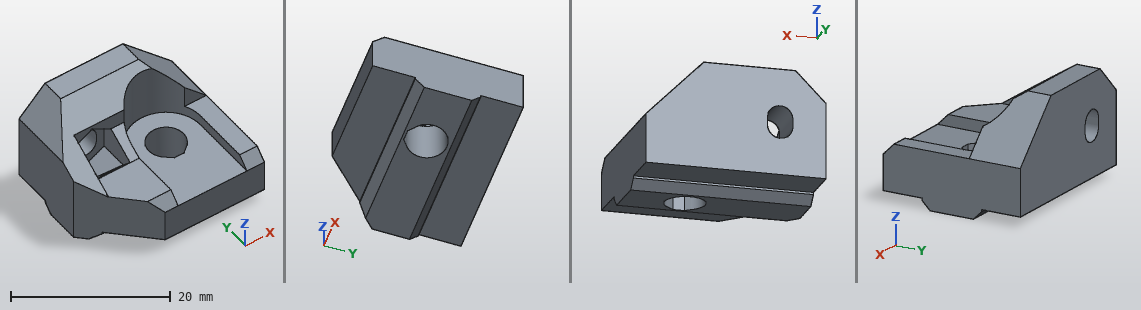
import cadquery as cq
import math

LENGTH = 23.5
DEPTH = 20.0
HEIGHT = 15.4

RAIL_HEIGHT = 1.48
FLOOR_Z = 7.92
FRONT_BEVEL = 1.57
SLOPE_START_Y = 5.15
TOP_FLAT_DEPTH = 3.38
LEFT_BEVEL = 4.0
RIGHT_BEVEL_WIDTH = 7.52
CORNER_CUT = 8.2

RAIL_CENTER_Y = DEPTH / 2
RAIL_WIDTH = 8.7
RAIL_BEVEL = 1.2

RECESS_LEFT_X = 3.15
RECESS_BACK_Y = 12.55
RAMP_START_Y = 8.41
RAMP_TOP_Z = 10.55

SCREW_X = 15.5
SCREW_Y = 10.0
POCKET_RADIUS = 5.29
POCKET_FLOOR_Z = FLOOR_Z - FRONT_BEVEL
HOLE_RADIUS = 2.65
RELIEF_HALF_WIDTH = 0.75
RELIEF_DEPTH = 2.82
RELIEF_SIDE_X = 1.48

NUT_FLATS = 5.69
NUT_X = RECESS_LEFT_X + NUT_FLATS / 2
NUT_UPPER_Z = 8.9
NUT_LOWER_Z = FLOOR_Z
NUT_BACK_Y = 14.03
NUT_RAMP_RUN = 3.05
BOLT_RADIUS = 1.65

CLEARANCE = 2.35


def extrude_along_x(points, start, end):
    """Extrude a (Y, Z) outline between two X positions."""
    return cq.Workplane("YZ").workplane(offset=start).polyline(points).close().extrude(end - start)


def extrude_along_y(sketch, start, end):
    """Extrude a sketched XZ outline between two Y positions."""
    return sketch(cq.Workplane("XZ", origin=(0, start, 0))).extrude(start - end)


def make_body():
    side = extrude_along_x([
        (0, RAIL_HEIGHT),
        (DEPTH, RAIL_HEIGHT),
        (DEPTH, HEIGHT),
        (DEPTH - TOP_FLAT_DEPTH, HEIGHT),
        (SLOPE_START_Y, FLOOR_Z),
        (FRONT_BEVEL, FLOOR_Z),
        (0, FLOOR_Z - FRONT_BEVEL),
    ], 0, LENGTH)
    half = RAIL_WIDTH / 2
    rail = extrude_along_x([
        (RAIL_CENTER_Y - half, RAIL_HEIGHT),
        (RAIL_CENTER_Y - half, RAIL_BEVEL),
        (RAIL_CENTER_Y - half + RAIL_BEVEL, 0),
        (RAIL_CENTER_Y + half - RAIL_BEVEL, 0),
        (RAIL_CENTER_Y + half, RAIL_BEVEL),
        (RAIL_CENTER_Y + half, RAIL_HEIGHT),
    ], 0, LENGTH)
    front_outline = [
        (0, 0),
        (LENGTH, 0),
        (LENGTH, FLOOR_Z),
        (LENGTH - RIGHT_BEVEL_WIDTH, HEIGHT),
        (LEFT_BEVEL, HEIGHT),
        (0, HEIGHT - LEFT_BEVEL),
    ]
    front = extrude_along_y(lambda plane: plane.polyline(front_outline).close(), 0, DEPTH)
    corner = cq.Workplane("XY").polyline([(0, 0), (CORNER_CUT, 0), (0, CORNER_CUT)]).close().extrude(HEIGHT)
    return side.union(rail).intersect(front).cut(corner)


def make_recess():
    """Clear the space above the floor, leaving a ramp left of the screw pocket."""
    top = HEIGHT + CLEARANCE
    ramped = extrude_along_x([
        (0, FLOOR_Z),
        (RAMP_START_Y, FLOOR_Z),
        (RECESS_BACK_Y, RAMP_TOP_Z),
        (RECESS_BACK_Y, top),
        (0, top),
    ], RECESS_LEFT_X, SCREW_X)
    square = extrude_along_x([
        (0, FLOOR_Z),
        (RECESS_BACK_Y, FLOOR_Z),
        (RECESS_BACK_Y, top),
        (0, top),
    ], SCREW_X, LENGTH)
    return ramped.union(square)


def make_screw_pocket():
    """U-shaped pocket, open to the front."""
    return (
        cq.Workplane("XY", origin=(SCREW_X, SCREW_Y, POCKET_FLOOR_Z))
        .moveTo(-POCKET_RADIUS, -SCREW_Y)
        .lineTo(-POCKET_RADIUS, 0)
        .threePointArc((0, POCKET_RADIUS), (POCKET_RADIUS, 0))
        .lineTo(POCKET_RADIUS, -SCREW_Y)
        .close()
        .extrude(HEIGHT)
    )


def make_screw_hole():
    """Round hole with a flat-ended relief on its front side."""
    relief_side_y = -math.sqrt(HOLE_RADIUS**2 - RELIEF_SIDE_X**2)
    plane = cq.Workplane("XY", origin=(SCREW_X, SCREW_Y, 0))
    return (
        plane.moveTo(-RELIEF_SIDE_X, relief_side_y)
        .threePointArc((0, HOLE_RADIUS), (RELIEF_SIDE_X, relief_side_y))
        .lineTo(RELIEF_HALF_WIDTH, -RELIEF_DEPTH)
        .lineTo(-RELIEF_HALF_WIDTH, -RELIEF_DEPTH)
        .close()
        .extrude(HEIGHT)
    )


def make_nut_trap():
    """Vertically stretched hexagon with a ramp rising to the floor at its front."""
    half = NUT_FLATS / 2
    corner_radius = NUT_FLATS / math.sqrt(3)
    shoulder = corner_radius / 2
    bottom_z = NUT_LOWER_Z - corner_radius
    hexagon = [
        (NUT_X, NUT_UPPER_Z + corner_radius),
        (NUT_X + half, NUT_UPPER_Z + shoulder),
        (NUT_X + half, NUT_LOWER_Z - shoulder),
        (NUT_X, bottom_z),
        (NUT_X - half, NUT_LOWER_Z - shoulder),
        (NUT_X - half, NUT_UPPER_Z + shoulder),
    ]
    prism = extrude_along_y(lambda plane: plane.polyline(hexagon).close(), RAMP_START_Y, NUT_BACK_Y)
    ramp = extrude_along_x([
        (RAMP_START_Y, NUT_LOWER_Z),
        (RAMP_START_Y + NUT_RAMP_RUN, bottom_z),
        (RAMP_START_Y, bottom_z),
    ], NUT_X - half, NUT_X + half)
    return prism.cut(ramp)


def make_bolt_slot():
    """Vertical slot from the front of the nut trap through the back face."""
    def outline(plane):
        return (
            plane.moveTo(NUT_X - BOLT_RADIUS, NUT_LOWER_Z)
            .lineTo(NUT_X - BOLT_RADIUS, NUT_UPPER_Z)
            .threePointArc((NUT_X, NUT_UPPER_Z + BOLT_RADIUS), (NUT_X + BOLT_RADIUS, NUT_UPPER_Z))
            .lineTo(NUT_X + BOLT_RADIUS, NUT_LOWER_Z)
            .threePointArc((NUT_X, NUT_LOWER_Z - BOLT_RADIUS), (NUT_X - BOLT_RADIUS, NUT_LOWER_Z))
            .close()
        )

    return extrude_along_y(outline, RAMP_START_Y, DEPTH)


result = make_body()
for cutter in (make_recess(), make_screw_pocket(), make_screw_hole(), make_nut_trap(), make_bolt_slot()):
    result = result.cut(cutter)